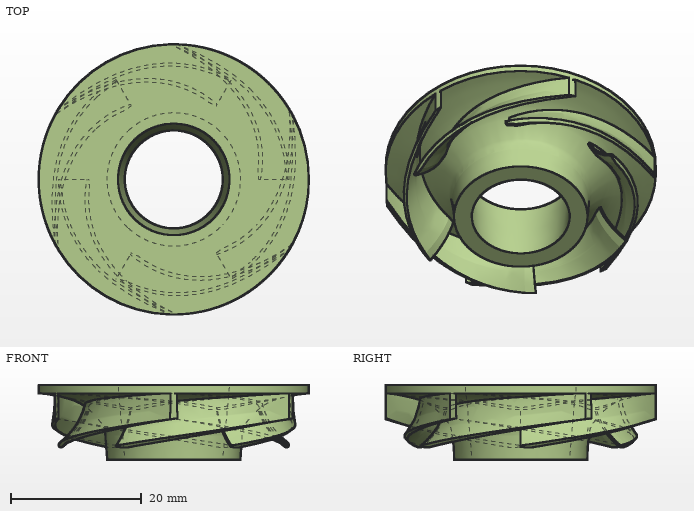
import cadquery as cq
import math

DISC_RADIUS = 20.65
DISC_BLANK_RADIUS = DISC_RADIUS + 2
DISC_THICKNESS = 1.27
HEIGHT = 11.43

HUB_BOTTOM_RADIUS = 10.19
HUB_FLARE_POINTS = [(17.7, 9.72), (14.0, 8.47), (11.4, 6.1), (10.45, 3.7)]
DISC_UNDERSIDE_SLOPE = (-1, -0.06)
BORE_TOP_RADIUS = 8.52
BORE_BOTTOM_RADIUS = 7.47

VANE_COUNT = 6
VANE_WRAP = 88.5
VANE_RIM_ANGLE = -91.5
VANE_THICKNESS = 0.72
VANE_RIM_THICKNESS = 0.46
VANE_ROOT_Z = HEIGHT - DISC_THICKNESS / 2
VANE_RIM_TIP_Z = 6.2
VANE_LEAD_TIP_Z = 2.18
TIP_INSET = 3.05
TIP_DECAY = 4.0
ROOT_FLARE = 4.7
ROOT_FLARE_POWER = 1.15
FACE_POWER = 2.4
RIM_OVERRUN = -0.08
FACE_FRACTIONS = (0, 0.35, 0.7, 1)
STATION_COUNT = 8

NOSE_START = 0.94
NOSE_THICKNESS = 0.3


def make_hub():
    """Disc and hub, with the disc left oversize until the rim is trimmed."""
    underside = HEIGHT - DISC_THICKNESS
    flare_end_radius, flare_end_z = HUB_FLARE_POINTS[-1]
    hub_taper = (HUB_BOTTOM_RADIUS - flare_end_radius, -flare_end_z)
    return (
        cq.Workplane("XZ")
        .moveTo(BORE_TOP_RADIUS, HEIGHT)
        .lineTo(DISC_BLANK_RADIUS, HEIGHT)
        .lineTo(DISC_BLANK_RADIUS, underside)
        .lineTo(DISC_RADIUS, underside)
        .spline(HUB_FLARE_POINTS, tangents=[DISC_UNDERSIDE_SLOPE, hub_taper], includeCurrent=True)
        .lineTo(HUB_BOTTOM_RADIUS, 0)
        .lineTo(BORE_BOTTOM_RADIUS, 0)
        .close()
        .revolve(360, (0, 0, 0), (0, 1, 0))
    )


def tip_radius(wrap):
    return DISC_RADIUS - TIP_INSET * (1 - math.exp(-TIP_DECAY * wrap)) / (1 - math.exp(-TIP_DECAY))


def vane_section(wrap, thickness):
    """Closed radial section of the first vane at a fraction of its wrap."""
    flare = ROOT_FLARE * max(wrap, 0) ** ROOT_FLARE_POWER
    root_radius = tip_radius(wrap) - flare
    tip_z = VANE_RIM_TIP_Z + (VANE_LEAD_TIP_Z - VANE_RIM_TIP_Z) * wrap
    depth = VANE_ROOT_Z - tip_z
    angle = math.radians(VANE_RIM_ANGLE - VANE_WRAP * wrap)

    def face_point(fraction, offset):
        slope = math.atan2(FACE_POWER * flare * fraction ** (FACE_POWER - 1), depth)
        radius = root_radius + flare * fraction**FACE_POWER - offset * math.cos(slope)
        z = VANE_ROOT_Z - depth * fraction - offset * math.sin(slope)
        return cq.Vector(radius * math.cos(angle), radius * math.sin(angle), z)

    outer = [face_point(fraction, 0) for fraction in FACE_FRACTIONS]
    inner = [face_point(fraction, thickness) for fraction in reversed(FACE_FRACTIONS)]
    edges = [
        cq.Edge.makeSpline(outer),
        cq.Edge.makeLine(outer[-1], inner[0]),
        cq.Edge.makeSpline(inner),
        cq.Edge.makeLine(inner[-1], outer[0]),
    ]
    return cq.Wire.assembleEdges(edges)


def make_vane():
    step = (NOSE_START - RIM_OVERRUN) / (STATION_COUNT - 1)
    sections = []
    for station in range(STATION_COUNT):
        wrap = RIM_OVERRUN + step * station
        thickness = VANE_RIM_THICKNESS + (VANE_THICKNESS - VANE_RIM_THICKNESS) * max(wrap, 0)
        sections.append(vane_section(wrap, thickness))
    blade = cq.Solid.makeLoft(sections)
    nose = cq.Solid.makeLoft([sections[-1], vane_section(1, NOSE_THICKNESS)], True)
    return cq.Workplane(blade).union(cq.Workplane(nose))


result = make_hub()
vane = make_vane()
for index in range(VANE_COUNT):
    turn = index * 360 / VANE_COUNT
    result = result.union(vane.rotate((0, 0, 0), (0, 0, 1), turn))

rim_envelope = cq.Workplane("XY").circle(DISC_RADIUS).extrude(HEIGHT)
result = result.intersect(rim_envelope)